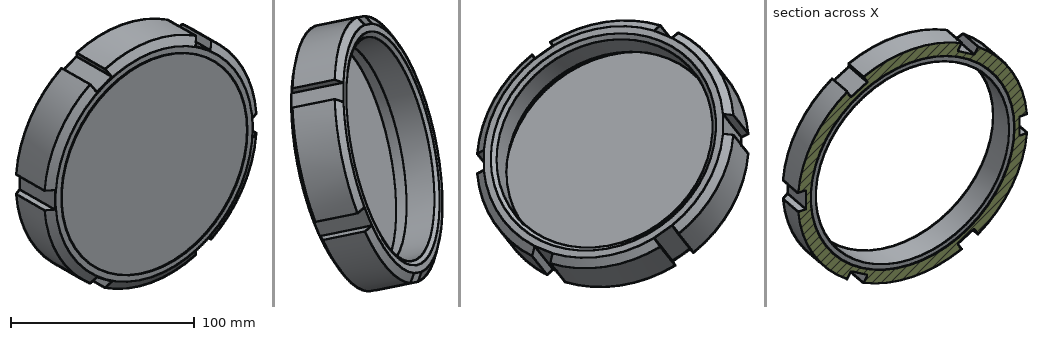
import cadquery as cq
import math

outer_radius = 74.0
nut_width = 31.1
disc_protrusion = 0.5
disc_radius = 64.7

rim_chamfer_width = 3.1
rim_chamfer_angle = 60
front_chamfer_height = 4.9
back_chamfer_height = rim_chamfer_width * math.tan(math.radians(rim_chamfer_angle))

bore_radius = 62.2
bore_mouth_radius = 64.8
bore_chamfer_width = 1.9
undercut_radius = 65.4
undercut_start = 18.4
floor_depth = 25.9

slot_count = 6
slot_width = 12.0
slot_floor_radius = 68.8
slot_clearance = 1.5


def revolve_about_x(profile):
    """Turn a closed (x, radius) outline into a solid of revolution."""
    return cq.Workplane("XY").polyline(profile).close().revolve(360, (0, 0, 0), (1, 0, 0))


def make_body():
    disc_face = nut_width + disc_protrusion
    return revolve_about_x([
        (floor_depth, 0),
        (floor_depth, undercut_radius),
        (undercut_start, undercut_radius),
        (undercut_start, bore_radius),
        (bore_chamfer_width, bore_radius),
        (0, bore_mouth_radius),
        (0, outer_radius - front_chamfer_height),
        (rim_chamfer_width, outer_radius),
        (nut_width - rim_chamfer_width, outer_radius),
        (nut_width, outer_radius - back_chamfer_height),
        (nut_width, disc_radius),
        (disc_face, disc_radius),
        (disc_face, 0),
    ])


def make_slot(angle):
    """Flat-bottomed cutter across the full rim, turned about the X axis."""
    cutter_height = outer_radius - slot_floor_radius + slot_clearance
    cutter = cq.Workplane("XY").box(
        nut_width, cutter_height, slot_width, centered=(False, False, True)
    )
    return cutter.translate((0, slot_floor_radius, 0)).rotate((0, 0, 0), (1, 0, 0), angle)


result = make_body()
for index in range(slot_count):
    result = result.cut(make_slot(index * 360 / slot_count))